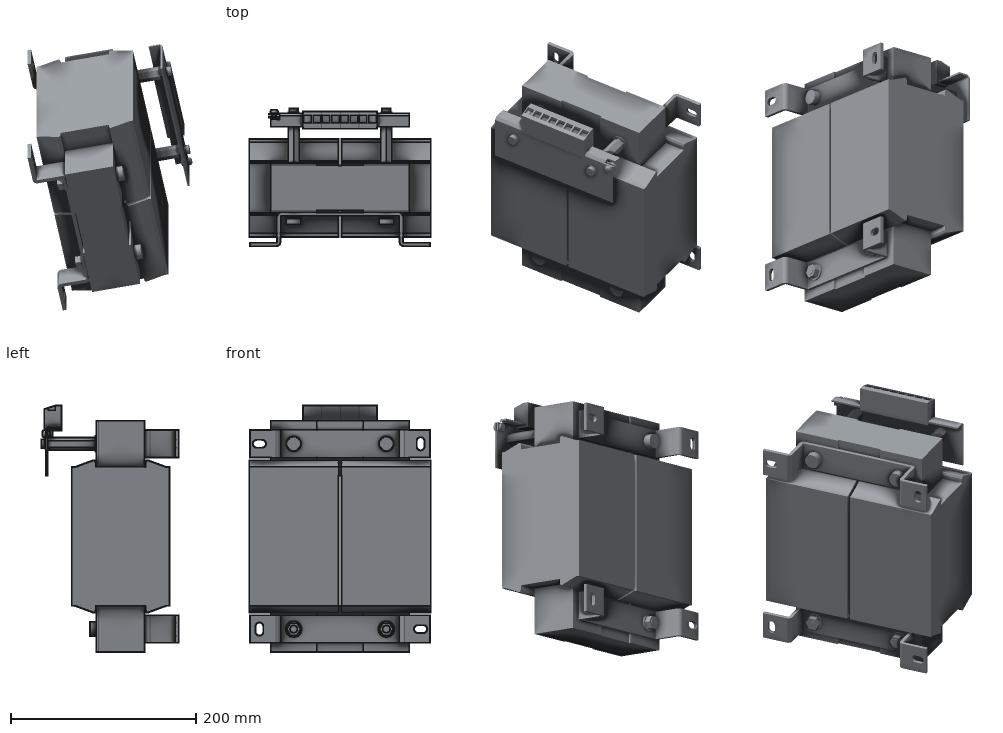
import cadquery as cq
import math

OVERALL_WIDTH = 196.3
OVERALL_DEPTH = 148.9
OVERALL_HEIGHT = 266.46

CORE_WIDTH = 150.0
CORE_HEIGHT = 250.0
LIMB_WIDTH = 50.0
YOKE_DEPTH = 48.4
LIMB_DEPTH = 52.6
WINDOW_HEIGHT = CORE_HEIGHT - 2 * LIMB_WIDTH
LIMB_X = (CORE_WIDTH - LIMB_WIDTH) / 2
YOKE_Z = (CORE_HEIGHT - LIMB_WIDTH) / 2
CORE_FACE = LIMB_DEPTH / 2

COIL_GAP = 3.2
COIL_WIDTH = (OVERALL_WIDTH - COIL_GAP) / 2
COIL_X = (COIL_WIDTH + COIL_GAP) / 2
COIL_HALF_DEPTH = 53.0
COIL_RIM = 3.8
COIL_SEAT_Z = WINDOW_HEIGHT / 2
COIL_LIP_Z = 82.3
LIP_OUTER_Y = 29.4
LIP_INNER_Y = 28.1
CHANNEL_HALF_DEPTH = 26.8
CHANNEL_BEVEL_Z = 79.7

SHEET = 3.9
BRACKET_HEIGHT = 30.0
BRACKET_SPAN = 194.4
LEG_OUTER_X = 68.1
FOOT_Y = -63.0
BEND_INNER = 1.0
BEND_OUTER = BEND_INNER + SHEET
SLOT_X = 87.0
SLOT_LENGTH = 14.0
SLOT_WIDTH = 8.2

BOLT_X = LIMB_X
BOLT_HEAD_DIAMETER = 16.0
BACK_HEAD_HEIGHT = 7.0
SPRING_WASHER = (14.2, 1.3)
HEAD_WASHER = (16.0, 1.9)
FRONT_HEAD = (15.7, 5.9)
NUT_WASHER = (17.2, 1.9)
NUT_FLATS = 13.0
NUT_HEIGHT = 6.5
STUD = (8.0, 9.1)

STANDOFF_WASHER = (17.0, 1.0)
STANDOFF_FLATS = 12.2
PANEL_BACK = 80.8
PANEL_SHEET = 2.0
PANEL_FRONT = PANEL_BACK - PANEL_SHEET
PANEL_BOTTOM = 65.6
PANEL_TOP = 118.0
FLANGE_FRONT = 65.8
PANEL_BEVEL_OUTER = 3.0
PANEL_NOTCH = (9.7, 6.8)
PANEL_WASHER = (11.2, 0.9)
PANEL_HEAD_DIAMETER = 10.0

BLOCK_COUNT = 4
BLOCK_WIDTH = 20.0
BLOCK_FRONT = 63.65
BLOCK_BACK = 82.5
BLOCK_RIDGE_Y = 70.0
BLOCK_BOTTOM = 114.3
BLOCK_TOP = OVERALL_HEIGHT - CORE_HEIGHT / 2
BLOCK_SLOPE_DROP = 4.0
BLOCK_BACK_TOP = BLOCK_TOP - BLOCK_SLOPE_DROP
POCKET_PITCH = BLOCK_WIDTH / 2
POCKET_WIDTH = 8.2
POCKET_FRONT = 70.6
POCKET_BACK = 78.3
POCKET_DEPTH = 5.0
POCKET_FLOOR = BLOCK_TOP - POCKET_DEPTH

EARTH_X = -71.1
EARTH_Z = 110.8
EARTH_HEAD = (8.4, 3.8)
EARTH_HEAD_ROUND = 2.8
EARTH_SHANK_DIAMETER = 5.0
EARTH_NUT = (7.0, 2.5)
CLAMP_WIDTH = 11.4
CLAMP_HEIGHT = 8.4
CLAMP_SHEET = 1.2
CLAMP_GAP = 2.1


def box(x_range, y_range, z_range):
    """Box given by its limits along each axis."""
    size = [limits[1] - limits[0] for limits in (x_range, y_range, z_range)]
    corner = (x_range[0], y_range[0], z_range[0])
    return cq.Workplane("XY").box(*size, centered=False).translate(corner)


def centred(middle, size):
    """Limits of a stretch of the given size about its middle."""
    return (middle - size / 2, middle + size / 2)


def disc(x, z, y_start, diameter, length):
    """Cylinder along +Y, or along -Y for a negative length."""
    plane = cq.Workplane("XZ", origin=(x, y_start, z))
    return plane.circle(diameter / 2).extrude(-length)


def hexagon(x, z, y_start, flats, length, turn):
    """Hexagonal bar along Y, turned by an angle in degrees from corners at +-X."""
    plane = cq.Workplane("XZ", origin=(x, y_start, z)).transformed(rotate=(0, 0, turn))
    return plane.polygon(6, flats / math.cos(math.pi / 6)).extrude(-length)


def make_core():
    """Two limbs and two yokes, with a packing plate on the front and back of each limb."""
    core_z = centred(0, CORE_HEIGHT)
    parts = []
    for side in (-1, 1):
        limb_x = centred(side * LIMB_X, LIMB_WIDTH)
        yoke_z = centred(side * YOKE_Z, LIMB_WIDTH)
        parts.append(box(centred(0, CORE_WIDTH), centred(0, YOKE_DEPTH), yoke_z))
        parts.append(box(limb_x, centred(0, YOKE_DEPTH), centred(0, WINDOW_HEIGHT)))
        parts.append(box(limb_x, (YOKE_DEPTH / 2, CORE_FACE), core_z))
        parts.append(box(limb_x, (-CORE_FACE, -YOKE_DEPTH / 2), core_z))
    return parts


def make_coil(side):
    """Coil whose ends carry a sloped lip on both sides of the yoke channel."""
    quarter = [
        (COIL_HALF_DEPTH, COIL_SEAT_Z),
        (COIL_HALF_DEPTH - COIL_RIM, COIL_SEAT_Z),
        (LIP_OUTER_Y, COIL_LIP_Z),
        (LIP_INNER_Y, COIL_LIP_Z),
        (CHANNEL_HALF_DEPTH, CHANNEL_BEVEL_Z),
        (CHANNEL_HALF_DEPTH, COIL_SEAT_Z),
    ]
    top = quarter + [(-y, z) for y, z in reversed(quarter)]
    bottom = [(-y, -z) for y, z in top]
    start = side * COIL_X - COIL_WIDTH / 2
    return cq.Workplane("YZ", origin=(start, 0, 0)).polyline(top + bottom).close().extrude(COIL_WIDTH)


def make_bracket(side):
    """Bracket across one yoke; its two feet have slots at right angles to each other."""
    base_front = -CORE_FACE - SHEET
    foot_back = FOOT_Y + SHEET
    leg_inner_x = LEG_OUTER_X - SHEET
    tip_x = BRACKET_SPAN / 2
    half = [
        (leg_inner_x, base_front),
        (leg_inner_x, FOOT_Y),
        (tip_x, FOOT_Y),
        (tip_x, foot_back),
        (LEG_OUTER_X, foot_back),
        (LEG_OUTER_X, -CORE_FACE),
    ]
    outline = half + [(-x, y) for x, y in reversed(half)]
    z_range = centred(side * YOKE_Z, BRACKET_HEIGHT)
    bracket = cq.Workplane("XY", origin=(0, 0, z_range[0])).polyline(outline).close().extrude(BRACKET_HEIGHT)
    for mirror in (-1, 1):
        for x, y, radius in (
            (leg_inner_x, base_front, BEND_INNER),
            (LEG_OUTER_X, -CORE_FACE, BEND_OUTER),
            (LEG_OUTER_X, foot_back, BEND_INNER),
            (leg_inner_x, FOOT_Y, BEND_OUTER),
        ):
            corner = (mirror * x, y, side * YOKE_Z)
            bracket = bracket.edges(cq.NearestToPointSelector(corner)).fillet(radius)
        angle = 90 if mirror == side else 0
        plane = cq.Workplane("XZ", origin=(mirror * SLOT_X, FOOT_Y, side * YOKE_Z))
        bracket = bracket.cut(plane.slot2D(SLOT_LENGTH, SLOT_WIDTH, angle).extrude(-SHEET))
    return bracket


def stack_discs(x, z, y_start, sizes, direction):
    """Row of coaxial discs, each starting where the one before it ends."""
    parts = []
    y = y_start
    for diameter, thickness in sizes:
        parts.append(disc(x, z, y, diameter, direction * thickness))
        y += direction * thickness
    return parts


def make_upper_bolt(x):
    """Bolt head in front of the upper bracket."""
    sizes = (SPRING_WASHER, HEAD_WASHER, FRONT_HEAD)
    return stack_discs(x, YOKE_Z, -CORE_FACE - SHEET, sizes, -1)


def make_lower_bolt(x):
    """Bolt head behind the lower yoke, with washer, nut and stud end in front of the bracket."""
    bracket_front = -CORE_FACE - SHEET
    nut_start = bracket_front - NUT_WASHER[1]
    return [
        disc(x, -YOKE_Z, CORE_FACE, BOLT_HEAD_DIAMETER, BACK_HEAD_HEIGHT),
        disc(x, -YOKE_Z, bracket_front, NUT_WASHER[0], -NUT_WASHER[1]),
        hexagon(x, -YOKE_Z, nut_start, NUT_FLATS, -NUT_HEIGHT, 0),
        disc(x, -YOKE_Z, bracket_front, STUD[0], -STUD[1]),
    ]


def make_standoff(x):
    """Hexagonal standoff from the core to the panel, and the screw head behind the panel."""
    bar_start = CORE_FACE + STANDOFF_WASHER[1]
    head_length = FOOT_Y + OVERALL_DEPTH - PANEL_BACK - PANEL_WASHER[1]
    parts = stack_discs(x, YOKE_Z, PANEL_BACK, (PANEL_WASHER, (PANEL_HEAD_DIAMETER, head_length)), 1)
    parts.append(disc(x, YOKE_Z, CORE_FACE, *STANDOFF_WASHER))
    parts.append(hexagon(x, YOKE_Z, bar_start, STANDOFF_FLATS, PANEL_FRONT - bar_start, 90))
    return parts


def make_panel():
    """Angle panel with a bevelled bend and a forward flange, notched at the earth screw."""
    flange_bottom = PANEL_TOP - PANEL_SHEET
    outline = [
        (PANEL_BACK, PANEL_BOTTOM),
        (PANEL_BACK, PANEL_TOP),
        (FLANGE_FRONT, PANEL_TOP),
        (FLANGE_FRONT, flange_bottom),
        (PANEL_FRONT, flange_bottom),
        (PANEL_FRONT, PANEL_BOTTOM),
    ]
    left = -CORE_WIDTH / 2
    panel = cq.Workplane("YZ", origin=(left, 0, 0)).polyline(outline).close().extrude(CORE_WIDTH)
    for y, z, bevel in (
        (PANEL_BACK, PANEL_TOP, PANEL_BEVEL_OUTER),
        (PANEL_FRONT, flange_bottom, PANEL_BEVEL_OUTER - PANEL_SHEET),
    ):
        panel = panel.edges(cq.NearestToPointSelector((0, y, z))).chamfer(bevel)
    notch_x, notch_y = PANEL_NOTCH
    notch = box(
        (left, left + notch_x),
        (PANEL_BACK - notch_y, PANEL_BACK),
        (PANEL_TOP - PANEL_BEVEL_OUTER, PANEL_TOP),
    )
    return panel.cut(notch)


def make_terminal_block(index):
    """One terminal block with two wire pockets in its top."""
    middle = (index - (BLOCK_COUNT - 1) / 2) * BLOCK_WIDTH
    outline = [
        (BLOCK_FRONT, BLOCK_BOTTOM),
        (BLOCK_FRONT, BLOCK_TOP),
        (BLOCK_RIDGE_Y, BLOCK_TOP),
        (BLOCK_BACK, BLOCK_BACK_TOP),
        (BLOCK_BACK, BLOCK_BOTTOM),
    ]
    plane = cq.Workplane("YZ", origin=(middle - BLOCK_WIDTH / 2, 0, 0))
    block = plane.polyline(outline).close().extrude(BLOCK_WIDTH)
    for side in (-1, 1):
        pocket_x = centred(middle + side * POCKET_PITCH / 2, POCKET_WIDTH)
        block = block.cut(box(pocket_x, (POCKET_FRONT, POCKET_BACK), (POCKET_FLOOR, BLOCK_TOP)))
    return block


def make_earth_screw():
    """Round-headed screw through the panel, with two clamp plates and a nut."""
    head = disc(EARTH_X, EARTH_Z, PANEL_BACK, *EARTH_HEAD).faces(">Y").edges().fillet(EARTH_HEAD_ROUND)
    parts = [head]
    clamp_x = centred(EARTH_X, CLAMP_WIDTH)
    clamp_z = centred(EARTH_Z, CLAMP_HEIGHT)
    front_clamp_back = PANEL_FRONT - CLAMP_GAP
    front_clamp_front = front_clamp_back - CLAMP_SHEET
    parts.append(box(clamp_x, (PANEL_FRONT, PANEL_FRONT + CLAMP_SHEET), clamp_z))
    parts.append(box(clamp_x, (front_clamp_front, front_clamp_back), clamp_z))
    parts.append(disc(EARTH_X, EARTH_Z, PANEL_FRONT, EARTH_SHANK_DIAMETER, -CLAMP_GAP))
    parts.append(disc(EARTH_X, EARTH_Z, front_clamp_front, EARTH_NUT[0], -EARTH_NUT[1]))
    return parts


components = make_core()
for side in (-1, 1):
    components.append(make_coil(side))
    components.append(make_bracket(side))
    components += make_upper_bolt(side * BOLT_X)
    components += make_lower_bolt(side * BOLT_X)
    components += make_standoff(side * BOLT_X)
components.append(make_panel())
components += [make_terminal_block(index) for index in range(BLOCK_COUNT)]
components += make_earth_screw()

result = components[0]
for component in components[1:]:
    result = result.union(component, clean=False)